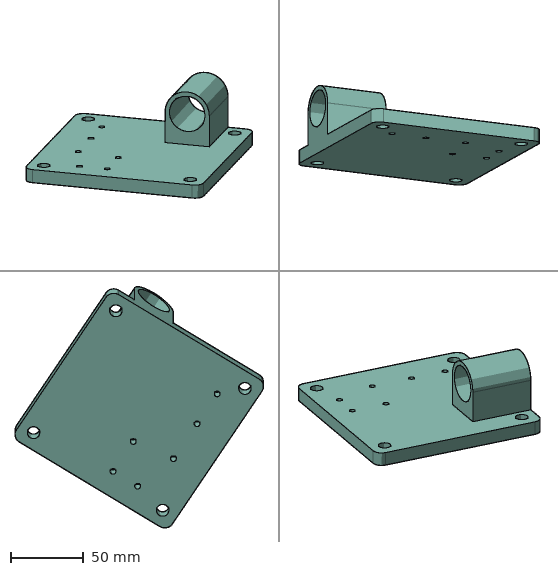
import cadquery as cq

plate_side = 127.0
plate_thickness = 9.5
corner_radius = 6.4

mount_hole_diameter = 8.5
mount_hole_spacing = 105.0

small_hole_diameter = 4.0
column_x = -38.6
column_y_places = (38.9, 13.2, -16.9)
group_right_x = -8.6
group_left_x = -28.6
group_upper_y = -21.2
group_lower_y = -47.0

total_height = 47.6
holder_width = 31.8
holder_length = 44.5
holder_x = 28.6
bore_diameter = 25.4
holder_radius = holder_width / 2
bore_z = total_height - holder_radius
holder_back_y = plate_side / 2


def make_plate():
    plate = cq.Workplane("XY").box(
        plate_side, plate_side, plate_thickness, centered=(True, True, False)
    )
    plate = plate.edges("|Z").fillet(corner_radius)
    mount_holes = (
        cq.Workplane("XY")
        .rect(mount_hole_spacing, mount_hole_spacing, forConstruction=True)
        .vertices()
        .circle(mount_hole_diameter / 2)
        .extrude(plate_thickness)
    )
    small_hole_places = [(column_x, y) for y in column_y_places]
    small_hole_places += [
        (group_right_x, group_upper_y),
        (group_right_x, group_lower_y),
        (group_left_x, group_lower_y),
    ]
    small_holes = (
        cq.Workplane("XY")
        .pushPoints(small_hole_places)
        .circle(small_hole_diameter / 2)
        .extrude(plate_thickness)
    )
    return plate.cut(mount_holes).cut(small_holes)


def make_holder():
    back_plane = cq.Workplane("XZ", origin=(holder_x, holder_back_y, 0))
    return (
        back_plane.moveTo(-holder_radius, plate_thickness)
        .lineTo(holder_radius, plate_thickness)
        .lineTo(holder_radius, bore_z)
        .threePointArc((0, total_height), (-holder_radius, bore_z))
        .close()
        .moveTo(0, bore_z)
        .circle(bore_diameter / 2)
        .extrude(holder_length)
    )


result = make_plate().union(make_holder())